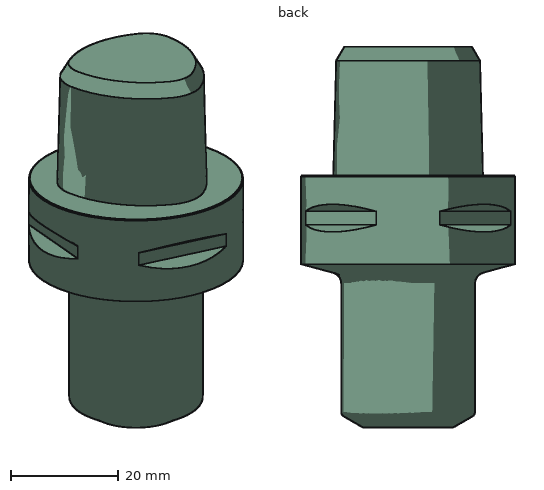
import cadquery as cq
import math

total_height = 71.0
taper_height = 24.0
flange_top = total_height - taper_height
flange_bottom = 30.45

flange_radius = 39.99 / 2
flange_edge_chamfer = 0.2
shaft_radius = 25.0 / 2
underside_angle = math.radians(15)
neck_fillet = 2.0
foot_radius = 8.4
foot_angle = math.radians(30)
foot_fillet = 1.0

lobe_center_distance = 7.0
lobe_base_radius = 7.9
taper_slope = 1 / 40
tip_chamfer_height = 2.6
tip_chamfer_width = 1.55

groove_count = 4
groove_floor_distance = 17.7
groove_floor_width = 2.5
groove_center_height = 39.05
groove_wall_angle = math.radians(30)


def polar(radius, degrees):
    angle = math.radians(degrees)
    return radius * math.cos(angle), radius * math.sin(angle)


def shank_section(lobe_radius, height):
    """Closed outline of tangent arcs: three lobes joined by three flatter sides."""
    side_radius = lobe_radius + math.sqrt(3) * lobe_center_distance
    lobe_tip = lobe_radius + lobe_center_distance
    side_middle = side_radius - lobe_center_distance

    def lobe_end(lobe_angle, offset):
        center_x, center_y = polar(lobe_center_distance, lobe_angle)
        reach_x, reach_y = polar(lobe_radius, lobe_angle + offset)
        return center_x + reach_x, center_y + reach_y

    outline = cq.Workplane("XY", origin=(0, 0, height)).moveTo(*lobe_end(90, -30))
    for lobe_angle in (90, 210, 330):
        outline = outline.threePointArc(polar(lobe_tip, lobe_angle), lobe_end(lobe_angle, 30))
        outline = outline.threePointArc(
            polar(side_middle, lobe_angle + 60), lobe_end(lobe_angle + 120, -30)
        )
    return outline.close().val()


def make_body():
    """Flange and shaft turned about Z."""
    neck_height = flange_bottom - (flange_radius - shaft_radius) * math.tan(underside_angle)
    foot_height = (shaft_radius - foot_radius) * math.tan(foot_angle)
    body = (
        cq.Workplane("XZ")
        .polyline([
            (0, 0),
            (foot_radius, 0),
            (shaft_radius, foot_height),
            (shaft_radius, neck_height),
            (flange_radius, flange_bottom),
            (flange_radius, flange_top),
            (0, flange_top),
        ])
        .close()
        .revolve(360, (0, 0), (0, 1))
    )

    def edge_at(radius, height):
        return cq.selectors.BoxSelector(
            (-radius - 0.7, -radius - 0.7, height - 0.1),
            (radius + 0.7, radius + 0.7, height + 0.1),
            boundingbox=True,
        )

    body = body.edges(edge_at(shaft_radius, neck_height)).fillet(neck_fillet)
    body = body.edges(edge_at(shaft_radius, foot_height)).fillet(foot_fillet)
    return body.edges(edge_at(flange_radius, flange_top)).chamfer(flange_edge_chamfer)


def make_shank():
    """Tapered shank and its chamfered tip."""
    chamfer_start = total_height - tip_chamfer_height
    upper_radius = lobe_base_radius - (chamfer_start - flange_top) * taper_slope
    base = shank_section(lobe_base_radius, flange_top)
    upper = shank_section(upper_radius, chamfer_start)
    tip = shank_section(upper_radius - tip_chamfer_width, total_height)
    taper = cq.Solid.makeLoft([base, upper], True)
    chamfer = cq.Solid.makeLoft([upper, tip], True)
    return cq.Workplane(taper).union(cq.Workplane(chamfer))


def make_groove_cutter():
    """Straight trapezoidal bar across the +X side of the flange."""
    outer = flange_radius + 0.7
    floor_half = groove_floor_width / 2
    mouth_half = floor_half + (outer - groove_floor_distance) * math.tan(groove_wall_angle)
    return (
        cq.Workplane("XZ", origin=(0, 0, groove_center_height))
        .polyline([
            (groove_floor_distance, -floor_half),
            (outer, -mouth_half),
            (outer, mouth_half),
            (groove_floor_distance, floor_half),
        ])
        .close()
        .extrude(flange_radius, both=True)
    )


result = make_body().union(make_shank())
groove_cutter = make_groove_cutter()
groove_step = 360 / groove_count
for index in range(groove_count):
    groove_angle = (index + 0.5) * groove_step
    result = result.cut(groove_cutter.rotate((0, 0, 0), (0, 0, 1), groove_angle))